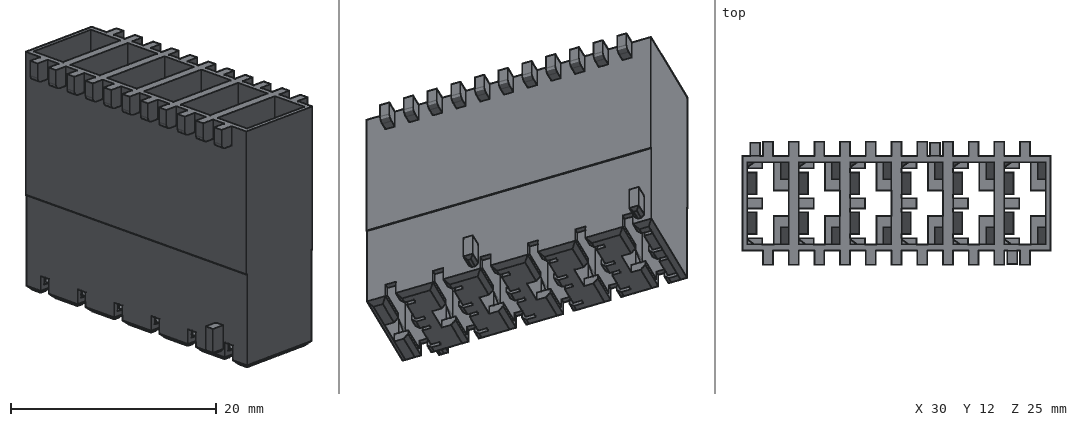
import cadquery as cq
import math

cell_count = 6
length = 30.0
height = 25.0
pitch = length / cell_count
divider = pitch / 5
upper_depth = 9.2
lower_depth = 9.0
step_height = 10.0
cell_length = pitch - divider
cell_depth = 7.98
foot_chamfer = 0.48

slot_width = 1.08
slot_height = 2.0
slot_flare = 0.48

floor_height = 1.0
shelf_length = (cell_length - slot_width) / 2
right_shelf_depth = 2.75
corner_shelf_depth = 0.6
centre_rib_width = 1.02
centre_rib_slope = math.radians(30)
gusset_length = 0.65
gusset_depth = 0.48
gusset_height = 1.95

wedge_slope = math.radians(75.5)
left_wedge_thickness = 0.9
left_wedge_inner = 0.87
left_wedge_width = 2.13
right_wedge_thickness = 0.78
right_wedge_width = 1.65

overall_depth = 12.0
finger_spacing = pitch / 2
finger_count = 2 * cell_count - 1
finger_width = 1.0
finger_height = 2.05
finger_radius = 0.5

lug_width = 1.0
lug_reach = 5.9
lug_bottom = 0.95
lug_height = 2.82
lug_chamfer = 0.33
lug_step = pitch / 4
front_lug_steps = [9]
back_lug_steps = [-11, 3]


def block(x_start, x_end, y_start, y_end, z_start, z_end):
    size = (x_end - x_start, y_end - y_start, z_end - z_start)
    return cq.Workplane("XY").box(*size, centered=False).translate((x_start, y_start, z_start))


def side_profile(points, y_start, width):
    """Extrude an outline of (x, z) points toward +Y."""
    return cq.Workplane("XZ", origin=(0, y_start, 0)).polyline(points).close().extrude(-width)


def both_sides(shape):
    return shape.union(shape.mirror("XZ"))


def make_tetrahedron(corner, x_tip, y_tip, z_tip):
    points = [cq.Vector(*point) for point in (corner, x_tip, y_tip, z_tip)]
    faces = []
    for skipped in range(len(points)):
        triangle = [point for index, point in enumerate(points) if index != skipped]
        faces.append(cq.Face.makeFromWires(cq.Wire.makePolygon(triangle, close=True)))
    return cq.Workplane(obj=cq.Solid.makeSolid(cq.Shell.makeShell(faces)))


def make_shell():
    lower = block(-length / 2, length / 2, -lower_depth / 2, lower_depth / 2, 0, step_height)
    lower = lower.faces("<Z").chamfer(foot_chamfer)
    upper = block(-length / 2, length / 2, -upper_depth / 2, upper_depth / 2, step_height, height)
    shell = lower.union(upper)
    cells = cq.Workplane("XY").rarray(pitch, 0.3, cell_count, 1).rect(cell_length, cell_depth).extrude(height)
    return shell.cut(cells)


def make_cell_fittings():
    """Floor pieces and wedges of one cell centred on X = 0."""
    wall_x = cell_length / 2
    wall_y = cell_depth / 2
    slot_x = wall_x - shelf_length

    right_shelf = block(slot_x, wall_x, wall_y - right_shelf_depth, wall_y, 0, floor_height)
    wedge_top = floor_height + right_wedge_thickness * math.tan(wedge_slope)
    right_wedge = side_profile(
        [(wall_x - right_wedge_thickness, floor_height), (wall_x, floor_height), (wall_x, wedge_top)],
        wall_y - right_wedge_width,
        right_wedge_width,
    )

    corner_shelf = block(-wall_x, -slot_x, wall_y - corner_shelf_depth, wall_y, 0, floor_height)
    gusset = make_tetrahedron(
        (-wall_x, wall_y, floor_height),
        (-wall_x + gusset_length, wall_y, floor_height),
        (-wall_x, wall_y - gusset_depth, floor_height),
        (-wall_x, wall_y, floor_height + gusset_height),
    )
    left_wedge = side_profile(
        [
            (-wall_x, 0),
            (-wall_x + left_wedge_thickness, 0),
            (-wall_x, left_wedge_thickness * math.tan(wedge_slope)),
        ],
        left_wedge_inner,
        left_wedge_width,
    )

    rib_top = floor_height + shelf_length * math.tan(centre_rib_slope)
    centre_rib = side_profile(
        [(-wall_x, 0), (-slot_x, 0), (-slot_x, floor_height), (-wall_x, rib_top)],
        -centre_rib_width / 2,
        centre_rib_width,
    )

    half = right_shelf.union(right_wedge).union(corner_shelf).union(gusset).union(left_wedge)
    return both_sides(half).union(centre_rib)


def make_slot():
    """Slot through the full depth with a flared mouth, centred on X = 0."""
    half_width = slot_width / 2
    half_mouth = half_width + slot_flare
    outline = [
        (-half_mouth, 0),
        (half_mouth, 0),
        (half_width, slot_flare),
        (half_width, slot_height),
        (-half_width, slot_height),
        (-half_width, slot_flare),
    ]
    return side_profile(outline, -lower_depth / 2, lower_depth)


def make_finger():
    """Finger on the back edge, centred on X = 0, with a rounded lower outer edge."""
    finger = block(
        -finger_width / 2, finger_width / 2,
        cell_depth / 2, overall_depth / 2,
        height - finger_height, height,
    )
    return finger.edges(">Y and <Z").fillet(finger_radius)


def make_lug():
    """Lug on the back face, centred on X = 0, chamfered around its lower end."""
    lug = block(
        -lug_width / 2, lug_width / 2,
        cell_depth / 2, lug_reach,
        lug_bottom, lug_bottom + lug_height,
    )
    return lug.faces("<Z").edges(">Y or <X or >X").chamfer(lug_chamfer)


result = make_shell()

fittings = make_cell_fittings()
slot = make_slot()
for cell in range(cell_count):
    cell_x = (cell - (cell_count - 1) / 2) * pitch
    result = result.union(fittings.translate((cell_x, 0, 0)))
    result = result.cut(slot.translate((cell_x, 0, 0)))

finger_pair = both_sides(make_finger())
for finger in range(finger_count):
    finger_x = (finger - (finger_count - 1) / 2) * finger_spacing
    result = result.union(finger_pair.translate((finger_x, 0, 0)))

back_lug = make_lug()
front_lug = back_lug.mirror("XZ")
for steps in back_lug_steps:
    result = result.union(back_lug.translate((steps * lug_step, 0, 0)))
for steps in front_lug_steps:
    result = result.union(front_lug.translate((steps * lug_step, 0, 0)))